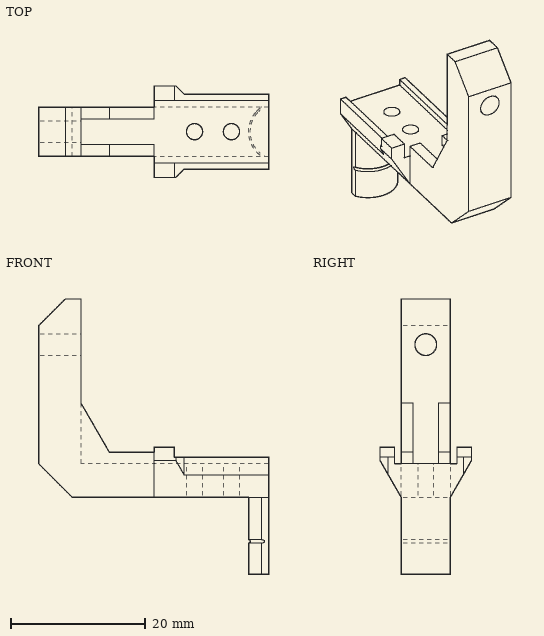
import cadquery as cq
import math

total_length = 34.35
total_height = 41.1
pin_length = 11.5
column_top = total_height - pin_length

arm_width = 7.35
arm_height = 6.75
column_thickness = 6.33
top_chamfer = 4.0
heel_chamfer = 5.0
gusset_run = 4.25
gusset_angle = 60
gusset_rise = gusset_run * math.tan(math.radians(gusset_angle))
column_hole_diameter = 3.2
column_hole_height = 22.75

plate_start = 17.2
hook_width = 13.7
hook_top = 7.48
hook_length = 3.05
flare_top = 5.5
rail_width = 11.2
rail_top = 6.0
shoulder_start = 20.45
shoulder_run = (hook_width - rail_width) / 2
floor_height = 5.0
channel_width = 9.3
slot_width = 3.82
plate_hole_diameter = 2.4
plate_hole_positions = (23.25, 28.75)

pin_depth = 3.05
pin_front = total_length - pin_depth
pin_flat = 1.1
groove_height = -6.57
groove_radius = 0.25


def box_between(x_start, x_end, width, z_bottom, z_top):
    """Box centred on Y between the given X and Z limits."""
    size = (x_end - x_start, width, z_top - z_bottom)
    return cq.Workplane().box(*size, centered=(False, True, False)).translate((x_start, 0, z_bottom))


def make_arm():
    profile = [
        (heel_chamfer, 0),
        (plate_start, 0),
        (plate_start, arm_height),
        (column_thickness + gusset_run, arm_height),
        (column_thickness, arm_height + gusset_rise),
        (column_thickness, column_top),
        (top_chamfer, column_top),
        (0, column_top - top_chamfer),
        (0, heel_chamfer),
    ]
    arm = cq.Workplane("XZ").polyline(profile).close().extrude(arm_width / 2, both=True)
    slot = box_between(column_thickness, plate_start, slot_width, floor_height, column_top)
    hole = (
        cq.Workplane("YZ")
        .center(0, column_hole_height)
        .circle(column_hole_diameter / 2)
        .extrude(column_thickness)
    )
    return arm.cut(slot).cut(hole)


def make_plate():
    half_base = arm_width / 2
    half_hook = hook_width / 2
    half_rail = rail_width / 2
    section = [
        (-half_base, 0),
        (half_base, 0),
        (half_hook, flare_top),
        (half_hook, hook_top),
        (-half_hook, hook_top),
        (-half_hook, flare_top),
    ]
    plate = (
        cq.Workplane("YZ", origin=(plate_start, 0, 0))
        .polyline(section)
        .close()
        .extrude(total_length - plate_start)
    )
    outline = [
        (plate_start, -half_hook),
        (shoulder_start, -half_hook),
        (shoulder_start + shoulder_run, -half_rail),
        (total_length, -half_rail),
        (total_length, half_rail),
        (shoulder_start + shoulder_run, half_rail),
        (shoulder_start, half_hook),
        (plate_start, half_hook),
    ]
    plate = plate.intersect(cq.Workplane().polyline(outline).close().extrude(hook_top))
    above_rails = box_between(plate_start + hook_length, total_length, hook_width, rail_top, hook_top)
    channel = box_between(plate_start, total_length, channel_width, floor_height, hook_top)
    holes = (
        cq.Workplane()
        .pushPoints([(x, 0) for x in plate_hole_positions])
        .circle(plate_hole_diameter / 2)
        .extrude(floor_height)
    )
    return plate.cut(above_rails).cut(channel).cut(holes)


def make_pin():
    half_width = arm_width / 2
    corner_x = total_length - pin_flat
    bulge = corner_x - pin_front
    front_radius = (half_width**2 + bulge**2) / (2 * bulge)
    pin = (
        cq.Workplane()
        .moveTo(total_length, -half_width)
        .lineTo(corner_x, -half_width)
        .threePointArc((pin_front, 0), (corner_x, half_width))
        .lineTo(total_length, half_width)
        .close()
        .extrude(-pin_length)
    )
    axis_x = pin_front + front_radius
    ring = cq.Solid.makeTorus(
        front_radius, groove_radius, cq.Vector(axis_x, 0, groove_height), cq.Vector(0, 0, 1)
    )
    return pin.cut(cq.Workplane(ring))


result = make_arm().union(make_plate()).union(make_pin())